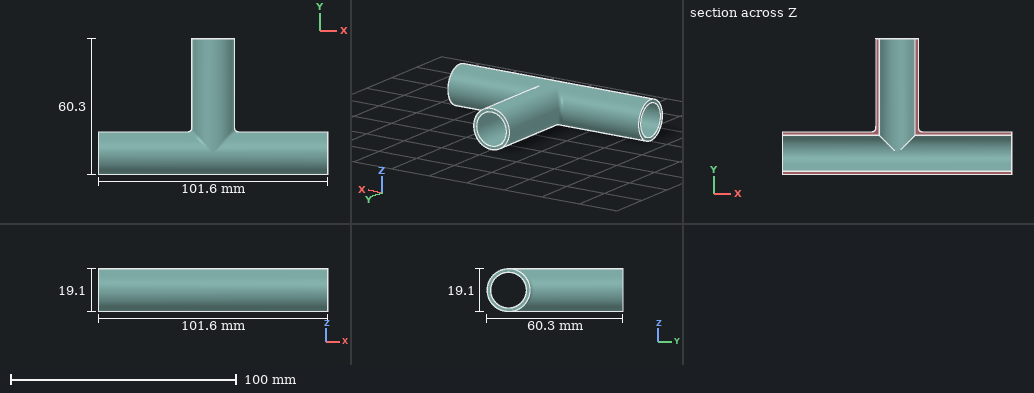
import cadquery as cq

tube_diameter = 19.05
wall_thickness = 1.65
run_length = 101.6
branch_length = run_length / 2
crotch_radius = 1.5875

bore_diameter = tube_diameter - 2 * wall_thickness


def run_cylinder(diameter):
    """Cylinder along X, centred on the origin."""
    return cq.Workplane("YZ").circle(diameter / 2).extrude(run_length / 2, both=True)


def branch_cylinder(diameter):
    """Cylinder from the run axis to the branch end, along +Y."""
    return cq.Workplane("XZ").circle(diameter / 2).extrude(-branch_length)


def tee(diameter):
    """Run and branch of the same diameter, joined."""
    return run_cylinder(diameter).union(branch_cylinder(diameter))


outer_tee = tee(tube_diameter)
crotch_edges = outer_tee.edges("%ELLIPSE")
blended_tee = crotch_edges.fillet(crotch_radius)
result = blended_tee.cut(tee(bore_diameter))